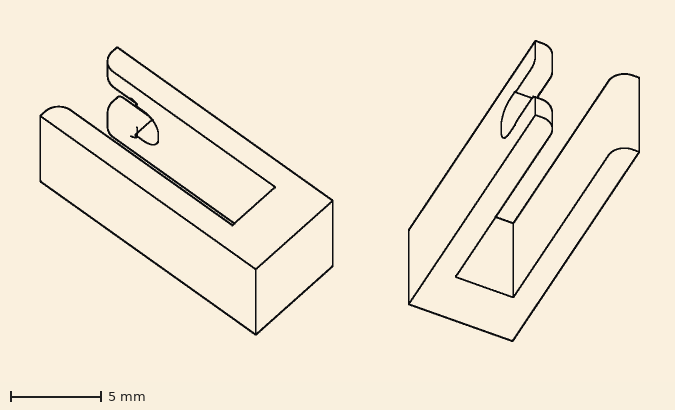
import cadquery as cq
import math

length = 16.0
width = 6.4
height = 6.0
arm_thickness = 1.42
bridge_length = 3.0
tip_round = 1.0

mouth_half_height = 1.23
seat_half_height = 1.35
notch_depth = 4.32
seat_corner_radius = 1.09
lip_length = 2.29
lip_round = 0.5

runout_angle = math.asin(0.5)
seat_angle = math.asin(1 - (seat_half_height - mouth_half_height) / lip_round)

lip_round_start = mouth_half_height + lip_round
runout_arc_radius = 0.64


def make_fork():
    """U-shaped clip, open at X = 0, with the inner arm tips rounded."""
    gap_length = length - bridge_length
    gap_width = width - 2 * arm_thickness
    body = cq.Workplane("XY").box(length, width, height, centered=(False, True, True))
    gap = cq.Workplane("XY").box(gap_length, gap_width, height, centered=(False, True, True))
    inner_tips = cq.selectors.BoxSelector(
        (-0.16, -gap_width / 2 - 0.16, -height), (0.16, gap_width / 2 + 0.16, height)
    )
    return body.cut(gap).edges(inner_tips).fillet(tip_round)


def lip_rear_point(angle):
    """Point (X, Z) on the rounded rear of the lower lip."""
    x = lip_length + lip_round * math.cos(angle)
    z = -lip_round_start + lip_round * math.sin(angle)
    return x, z


def make_notch():
    """Seat with rounded inner corners, widened toward the tip to take the rounded lips."""
    lower_half = (
        cq.Workplane("XZ")
        .lineTo(0, -lip_round_start)
        .lineTo(lip_length, -lip_round_start)
        .radiusArc(lip_rear_point(runout_angle), -runout_arc_radius)
        .threePointArc(
            lip_rear_point((runout_angle + seat_angle) / 2),
            lip_rear_point(seat_angle),
        )
        .lineTo(notch_depth - seat_corner_radius, -seat_half_height)
        .radiusArc((notch_depth, seat_corner_radius - seat_half_height), -seat_corner_radius)
        .lineTo(notch_depth, 0)
        .close()
        .extrude(-width / 2)
    )
    return lower_half.union(lower_half.mirror("XY"))


def make_lower_lip():
    """End of the arm below the mouth, rounded on top along its front, inside and rear."""
    lip_height = height / 2 - mouth_half_height
    lip = (
        cq.Workplane("XY")
        .box(lip_length + lip_round, arm_thickness, lip_height, centered=False)
        .translate((0, width / 2 - arm_thickness, -height / 2))
    )
    lip = lip.edges("|Z and <X and <Y").fillet(tip_round)
    return lip.faces(">Z").edges("not >Y").fillet(lip_round)


lower_lip = make_lower_lip()
result = make_fork().cut(make_notch()).union(lower_lip).union(lower_lip.mirror("XY"))